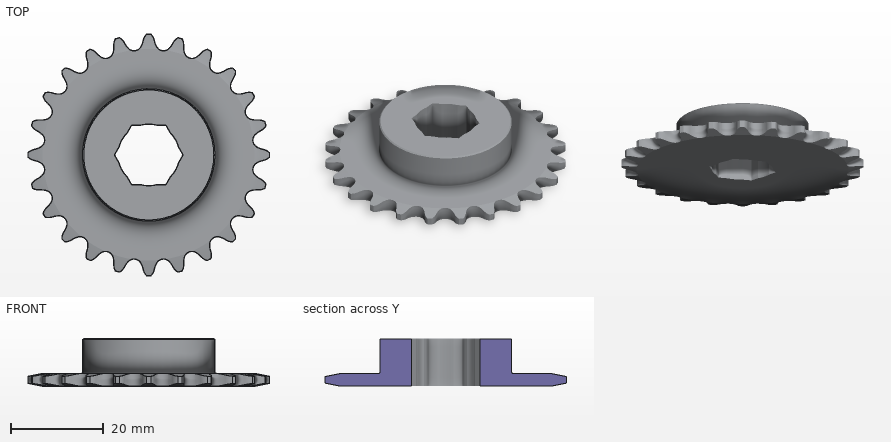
import cadquery as cq
import math

tooth_count = 24
chain_pitch = 6.35
roller_diameter = 3.3
roller_clearance = 0.035
outer_radius = 26.0

plate_thickness = 2.8
tip_thickness = 1.5
taper_start_radius = 22.8

hub_radius = 14.25
total_height = 10.3
hub_chamfer = 0.25
hub_base_fillet = 0.25

hex_across_flats = 12.75
relief_diameter = 13.2

half_pitch_angle = math.pi / tooth_count
pitch_radius = chain_pitch / 2 / math.sin(half_pitch_angle)
seat_radius = roller_diameter / 2 + roller_clearance
seat_angle = math.radians(35 + 60 / tooth_count)
working_angle = math.radians(18 - 56 / tooth_count)
working_center_offset = 0.8 * roller_diameter
working_radius = seat_radius + working_center_offset
topping_center_offset = 1.4 * roller_diameter


def polar(radius, angle, center=(0, 0)):
    """Point at a radius and angle from a centre."""
    return (center[0] + radius * math.cos(angle), center[1] + radius * math.sin(angle))


def rotated(point, angle):
    """Point turned about the sprocket axis."""
    x, y = point
    return (
        x * math.cos(angle) - y * math.sin(angle),
        x * math.sin(angle) + y * math.cos(angle),
    )


def mirrored(point):
    """Point reflected across the X axis."""
    return (point[0], -point[1])


def flank_points():
    """Upper flank of a tooth pointing along +X, from the outer circle down to the seat.

    Returns land end, topping arc middle, topping arc end, working arc start,
    working arc middle and seat arc start.
    """
    roller = polar(pitch_radius, half_pitch_angle)
    toward_tooth = half_pitch_angle - math.pi / 2
    seat_normal = toward_tooth - seat_angle
    middle_normal = seat_normal + working_angle / 2
    flank_normal = seat_normal + working_angle

    working_center = polar(-working_center_offset, seat_normal, roller)
    seat_start = polar(seat_radius, seat_normal, roller)
    working_middle = polar(working_radius, middle_normal, working_center)
    working_start = polar(working_radius, flank_normal, working_center)

    topping_center = polar(topping_center_offset, toward_tooth - half_pitch_angle, roller)
    center_gap_x = topping_center[0] - working_center[0]
    center_gap_y = topping_center[1] - working_center[1]
    center_gap = center_gap_x * math.cos(flank_normal) + center_gap_y * math.sin(flank_normal)
    topping_radius = center_gap - working_radius
    topping_end_angle = flank_normal + math.pi
    topping_end = polar(topping_radius, topping_end_angle, topping_center)

    center_distance = math.hypot(*topping_center)
    center_bearing = math.atan2(topping_center[1], topping_center[0])
    land_cosine = (center_distance**2 + outer_radius**2 - topping_radius**2) / (
        2 * center_distance * outer_radius
    )
    land_end = polar(outer_radius, center_bearing + math.acos(land_cosine))
    land_end_angle = math.atan2(land_end[1] - topping_center[1], land_end[0] - topping_center[0])
    topping_middle_angle = (land_end_angle + topping_end_angle) / 2
    topping_middle = polar(topping_radius, topping_middle_angle, topping_center)

    return land_end, topping_middle, topping_end, working_start, working_middle, seat_start


def tooth_blank():
    """Flat disc with the full tooth outline."""
    land_end, topping_middle, topping_end, working_start, working_middle, seat_start = flank_points()
    land_middle = (outer_radius, 0)
    root = polar(pitch_radius - seat_radius, half_pitch_angle)

    outline = cq.Workplane("XY").moveTo(*mirrored(land_end))
    for tooth in range(tooth_count):
        angle = 2 * half_pitch_angle * tooth
        next_angle = angle + 2 * half_pitch_angle
        outline = (
            outline
            .threePointArc(rotated(land_middle, angle), rotated(land_end, angle))
            .threePointArc(rotated(topping_middle, angle), rotated(topping_end, angle))
            .lineTo(*rotated(working_start, angle))
            .threePointArc(rotated(working_middle, angle), rotated(seat_start, angle))
            .threePointArc(rotated(root, angle), rotated(mirrored(seat_start), next_angle))
            .threePointArc(
                rotated(mirrored(working_middle), next_angle),
                rotated(mirrored(working_start), next_angle),
            )
            .lineTo(*rotated(mirrored(topping_end), next_angle))
            .threePointArc(
                rotated(mirrored(topping_middle), next_angle),
                rotated(mirrored(land_end), next_angle),
            )
        )
    return outline.close().extrude(plate_thickness)


def taper_envelope():
    """Disc with both faces sloping inward beyond the taper start radius."""
    taper_drop = (plate_thickness - tip_thickness) / 2
    return (
        cq.Workplane("XZ")
        .polyline([
            (0, 0),
            (taper_start_radius, 0),
            (outer_radius, taper_drop),
            (outer_radius, plate_thickness - taper_drop),
            (taper_start_radius, plate_thickness),
            (0, plate_thickness),
        ])
        .close()
        .revolve(360, (0, 0), (0, 1))
    )


def hub():
    """Round hub with a chamfered top edge and a concave fillet where it meets the plate."""
    fillet_center = (hub_radius + hub_base_fillet, plate_thickness + hub_base_fillet)
    return (
        cq.Workplane("XZ")
        .lineTo(hub_radius + hub_base_fillet, 0)
        .lineTo(hub_radius + hub_base_fillet, plate_thickness)
        .threePointArc(
            polar(hub_base_fillet, math.radians(225), fillet_center),
            (hub_radius, plate_thickness + hub_base_fillet),
        )
        .lineTo(hub_radius, total_height - hub_chamfer)
        .lineTo(hub_radius - hub_chamfer, total_height)
        .lineTo(0, total_height)
        .close()
        .revolve(360, (0, 0), (0, 1))
    )


def bore():
    """Through hexagon with two corners on the X axis, joined with the relief hole."""
    hex_corner_diameter = hex_across_flats / math.cos(math.radians(30))
    hexagon = cq.Workplane("XY").polygon(6, hex_corner_diameter).extrude(total_height)
    relief = cq.Workplane("XY").circle(relief_diameter / 2).extrude(total_height)
    return hexagon.union(relief)


sprocket = tooth_blank().intersect(taper_envelope())
result = sprocket.union(hub()).cut(bore())